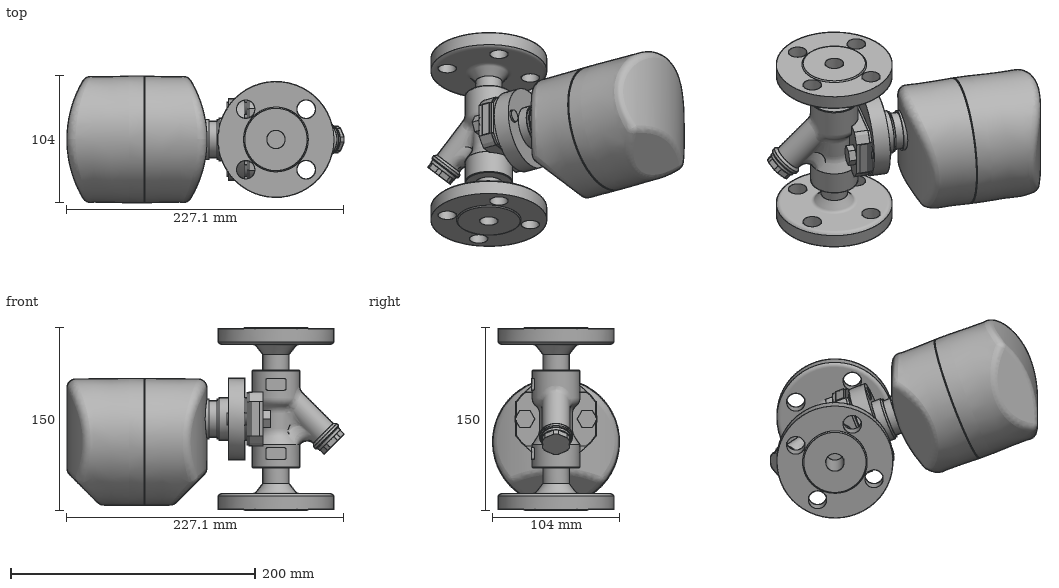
import cadquery as cq
import math


hexagon_sides = 6

overall_height = 150.0
flange_dia = 95.0
flange_thickness = 14.1
flange_edge_chamfer = 2.0
raised_face_dia = 51.0
raised_face_height = 1.0
bolt_circle_dia = 70.0
bolt_hole_dia = 15.0
bolt_hole_count = 4
first_bolt_hole_angle = 45.0
bore_dia = 15.0
pipe_dia = 21.7
neck_length = 8.0
neck_flare = 6.3
neck_fillet = 4.0

hub_dia = 39.0
hub_end = 40.0
hub_chamfer = 0.6
upper_shoulder_z = 16.8
waist_top = 4.7
lower_shoulder_z = -20.9
lower_cone_top_z = -13.9
lower_cone_top_radius = 14.9
waist_bottom = -8.5
waist_dia = 27.0
label_width = 16.6
label_height = 9.6
label_corner = 1.5
label_face_y = 19.9
label_z = 28.3

arm_axis_z = 27.0
arm_tilt = 45.0
arm_dia = 23.0
collar_dia = 27.0
cap_ring_dia = 24.0
cap_flats = 22.0
cap_corner_chamfer = 2.2
arm_length = 54.8
collar_start = 57.0
collar_end = 60.0
collar_chamfer = 0.8
cap_start = 62.6
cap_end = 67.46
arm_blend_fillet = 8.0

plate_front = -23.8
plate_back = -10.5
plate_half_height = 22.0
plate_top_half_width = 25.3
plate_shoulder_z = 19.9
plate_shoulder_half_width = 28.0
plate_lip_thickness = 1.8
plate_lip_inset = 0.5
plate_side_half_height = 14.1
plate_half_width = 32.5
plate_pad_width = 6.8
plate_pad_x = -16.9
plate_pad_half_width = 33.3

housing_dia = 104.0
housing_axis_z = -18.8
housing_back = -171.15
housing_front = -56.4
band_start = -120.0
joint_groove_x = -107.4
joint_groove_width = 0.8
joint_groove_depth = 0.5
taper_angle = 0.5
end_face_radius = 94.0
bevel_size = 27.5
housing_fillet = 7.5
stem_root_dia = 33.0
stem_dia = 30.0
stem_start = -54.7
stem_end = -48.1
sleeve_start = -46.4
sleeve_dia = 35.0
disc_dia = 67.0
disc_start = -38.9
disc_end = -25.4

bolt_dia = 10.0
bolt_clearance_dia = 10.5
bolt_y = 25.5
bolt_start = -40.2
bolt_head_length = 6.0
bolt_head_flats = 14.2


def cylinder_x(dia, x_start, x_end, y=0.0, z=0.0):
    """Cylinder along X between two X positions."""
    return cq.Workplane("YZ", origin=(x_start, y, z)).circle(dia / 2).extrude(x_end - x_start)


def across_corners(flats):
    """Corner-to-corner size of a hexagon from its width across flats."""
    return flats / math.cos(math.pi / hexagon_sides)


def flange_and_pipe():
    """Upper flange, tapered neck and pipe, with the bolt holes."""
    face_z = overall_height / 2
    rim_z = face_z - raised_face_height
    back_z = face_z - flange_thickness
    neck_end_z = back_z - neck_length
    flange_r = flange_dia / 2
    pipe_r = pipe_dia / 2
    face_r = raised_face_dia / 2
    profile = (
        cq.Workplane("XZ")
        .moveTo(0, hub_end - hub_chamfer)
        .lineTo(pipe_r, hub_end - hub_chamfer)
        .lineTo(pipe_r, neck_end_z)
        .lineTo(pipe_r + neck_flare, back_z)
        .lineTo(flange_r - flange_edge_chamfer, back_z)
        .lineTo(flange_r, back_z + flange_edge_chamfer)
        .lineTo(flange_r, rim_z)
        .lineTo(face_r + raised_face_height, rim_z)
        .lineTo(face_r, face_z)
        .lineTo(0, face_z)
        .close()
    )
    body = profile.revolve(360, (0, 0, 0), (0, 1, 0))
    neck_root = cq.selectors.BoxSelector(
        (-face_r, -face_r, back_z - raised_face_height), (face_r, face_r, back_z + raised_face_height)
    )
    body = body.edges(neck_root).fillet(neck_fillet)
    holes = (
        cq.Workplane("XY", origin=(0, 0, back_z))
        .polarArray(bolt_circle_dia / 2, first_bolt_hole_angle, 360, bolt_hole_count)
        .circle(bolt_hole_dia / 2)
        .extrude(flange_thickness)
    )
    return body.cut(holes)


def hub_body():
    """Both hubs and the narrower waist between them, as one turned shape."""
    hub_r = hub_dia / 2
    waist_r = waist_dia / 2
    shoulder_mid_radius = (hub_r + waist_r) / 2
    shoulder_mid_z = (upper_shoulder_z + waist_top) / 2
    profile = (
        cq.Workplane("XZ")
        .moveTo(0, hub_end)
        .lineTo(hub_r - hub_chamfer, hub_end)
        .lineTo(hub_r, hub_end - hub_chamfer)
        .lineTo(hub_r, upper_shoulder_z)
        .tangentArcPoint((shoulder_mid_radius, shoulder_mid_z), relative=False)
        .tangentArcPoint((waist_r, waist_top), relative=False)
        .lineTo(waist_r, waist_bottom)
        .tangentArcPoint((lower_cone_top_radius, lower_cone_top_z), relative=False)
        .lineTo(hub_r, lower_shoulder_z)
        .lineTo(hub_r, -hub_end + hub_chamfer)
        .lineTo(hub_r - hub_chamfer, -hub_end)
        .lineTo(0, -hub_end)
        .close()
    )
    return profile.revolve(360, (0, 0, 0), (0, 1, 0))


def arm_plane():
    """Plane across the arm, its normal running along the arm outward."""
    tilt = math.radians(arm_tilt)
    return cq.Plane(
        origin=(0, 0, arm_axis_z),
        xDir=(math.sin(tilt), 0, math.cos(tilt)),
        normal=(math.cos(tilt), 0, -math.sin(tilt)),
    )


def arm_tube():
    """Plain round part of the arm."""
    return cq.Workplane(arm_plane()).circle(arm_dia / 2).extrude(arm_length)


def arm_end():
    """Flared collar, ring and hexagonal cap with blunted corners at the end of the arm."""
    flare = (
        cq.Workplane(arm_plane())
        .workplane(offset=arm_length)
        .circle(arm_dia / 2)
        .workplane(offset=collar_start - arm_length)
        .circle(collar_dia / 2)
        .loft()
    )
    collar = (
        cq.Workplane(arm_plane())
        .workplane(offset=collar_start)
        .circle(collar_dia / 2)
        .extrude(collar_end - collar_start)
        .faces(cq.selectors.DirectionMinMaxSelector(arm_plane().zDir))
        .chamfer(collar_chamfer)
    )
    ring = (
        cq.Workplane(arm_plane())
        .workplane(offset=collar_end)
        .circle(cap_ring_dia / 2)
        .extrude(cap_start - collar_end)
    )
    cap = (
        cq.Workplane(arm_plane())
        .workplane(offset=cap_start)
        .polygon(hexagon_sides, across_corners(cap_flats))
        .extrude(cap_end - cap_start)
        .edges(cq.selectors.ParallelDirSelector(arm_plane().zDir))
        .chamfer(cap_corner_chamfer)
    )
    return flare.union(collar).union(ring).union(cap)


def mounting_plate():
    """Plate that carries the actuator, with a raised pad on both sides."""
    corner = [
        (plate_top_half_width, plate_half_height),
        (plate_shoulder_half_width, plate_shoulder_z),
        (plate_half_width, plate_side_half_height),
    ]
    right = corner + [(y, -z) for y, z in reversed(corner)]
    left = [(-y, -z) for y, z in right]
    lip_end = plate_front + plate_lip_thickness
    plate = (
        cq.Workplane("YZ", origin=(lip_end, 0, 0))
        .polyline(right + left)
        .close()
        .extrude(plate_back - lip_end)
    )
    lip = (
        cq.Workplane("YZ", origin=(plate_front, 0, 0))
        .polyline(right + left)
        .close()
        .offset2D(-plate_lip_inset)
        .extrude(plate_lip_thickness)
    )
    pads = cq.Workplane("XY", origin=(plate_pad_x, 0, 0)).box(
        plate_pad_width, 2 * plate_pad_half_width, 2 * plate_side_half_height
    )
    return plate.union(lip).union(pads)


def label_pad(z):
    """Raised rectangular pad on the -Y side of a hub."""
    return (
        cq.Workplane("XZ", origin=(0, 0, z))
        .rect(label_width, label_height)
        .extrude(label_face_y)
        .edges("|Y")
        .fillet(label_corner)
    )


def make_valve():
    """Valve body with pipe ends, flanges, strainer arm and mounting plate."""
    hub = hub_body().union(arm_tube())
    arm_joint = [e for e in hub.edges().vals() if e.geomType() == "BSPLINE"]
    hub = hub.newObject(arm_joint).fillet(arm_blend_fillet)
    body = hub.union(arm_end()).union(mounting_plate())
    upper = flange_and_pipe()
    body = body.union(upper).union(upper.mirror("XY"))
    for side in (-1, 1):
        body = body.union(label_pad(side * label_z))
        bore_depth = overall_height / 2 - hub_end
        bore_start = hub_end if side > 0 else -overall_height / 2
        body = body.cut(
            cq.Workplane("XY", origin=(0, 0, bore_start)).circle(bore_dia / 2).extrude(bore_depth)
        )
        body = body.cut(cylinder_x(bolt_clearance_dia, plate_front, plate_back, side * bolt_y))
    return body


def housing():
    """Actuator housing: slightly tapered both ways, bowed ends, bevelled below."""
    r = housing_dia / 2
    slope = math.tan(math.radians(taper_angle))
    back_r = r - slope * (band_start - housing_back)
    front_r = r - slope * (housing_front - joint_groove_x)
    body = (
        cq.Workplane("XZ", origin=(0, 0, housing_axis_z))
        .moveTo(housing_back, 0)
        .lineTo(housing_back, back_r)
        .lineTo(band_start, r)
        .lineTo(joint_groove_x, r)
        .lineTo(housing_front, front_r)
        .lineTo(housing_front, 0)
        .close()
        .revolve(360, (0, 0, 0), (1, 0, 0))
    )
    low = housing_axis_z - r
    high = housing_axis_z + r
    for centre_x in (housing_back + end_face_radius, housing_front - end_face_radius):
        bow = cq.Workplane("XY", origin=(centre_x, 0, housing_axis_z))
        body = body.intersect(bow.circle(end_face_radius).extrude(housing_dia, both=True))
    bevel_envelope = (
        cq.Workplane("XZ")
        .moveTo(housing_back, high)
        .lineTo(housing_back, low + bevel_size)
        .lineTo(housing_back + bevel_size, low)
        .lineTo(housing_front - bevel_size, low)
        .lineTo(housing_front, low + bevel_size)
        .lineTo(housing_front, high)
        .close()
        .extrude(housing_dia, both=True)
    )
    body = body.intersect(bevel_envelope)
    band_start_limit = band_start - joint_groove_width
    band_end_limit = joint_groove_x + joint_groove_width

    def is_end_edge(edge):
        x = edge.Center().x
        return edge.geomType() != "LINE" and not band_start_limit < x < band_end_limit

    ends = [edge for edge in body.edges().vals() if is_end_edge(edge)]
    body = body.newObject(ends).fillet(housing_fillet)
    groove_start = joint_groove_x - joint_groove_width / 2
    groove_end = joint_groove_x + joint_groove_width / 2
    groove = cylinder_x(housing_dia, groove_start, groove_end, z=housing_axis_z).cut(
        cylinder_x(housing_dia - 2 * joint_groove_depth, groove_start, groove_end, z=housing_axis_z)
    )
    return body.cut(groove)


def make_actuator():
    """Housing, stem, sleeve and fixing disc."""
    body = housing().union(cylinder_x(stem_root_dia, joint_groove_x, stem_start))
    body = body.union(cylinder_x(stem_dia, stem_start, stem_end))
    body = body.union(cylinder_x(stem_root_dia, stem_end, sleeve_start))
    body = body.union(cylinder_x(sleeve_dia, sleeve_start, plate_front))
    body = body.union(cylinder_x(disc_dia, disc_start, disc_end))
    for side in (-1, 1):
        body = body.cut(cylinder_x(bolt_clearance_dia, disc_start, disc_end, side * bolt_y))
    return body


def make_bolt(y):
    """Round bolt with a hexagonal head behind the plate."""
    shank = cylinder_x(bolt_dia, bolt_start, plate_back, y)
    head = (
        cq.Workplane("YZ", origin=(plate_back, y, 0))
        .polygon(hexagon_sides, across_corners(bolt_head_flats))
        .extrude(bolt_head_length)
    )
    return shank.union(head)


valve = make_valve()
actuator = make_actuator()
bolts = [make_bolt(side * bolt_y) for side in (-1, 1)]

result = cq.Compound.makeCompound([valve.val(), actuator.val(), *[bolt.val() for bolt in bolts]])